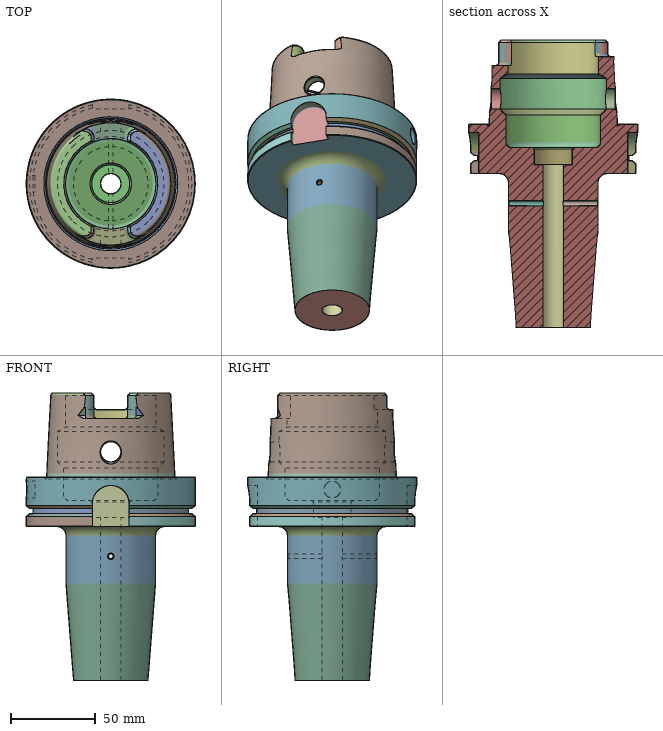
import cadquery as cq
import math

total_height = 169.9
flange_top = 120.1
flange_bottom = 90.9
sleeve_taper_top = 57.3

sleeve_radius = 26.5
sleeve_tip_radius = 22.0
neck_fillet = 5.5

flange_radius = 50.0
flange_edge_chamfer = 0.3
groove_center = 100.0
groove_half_width = 3.2
groove_floor_half_width = 1.5
groove_floor_radius = 46.0
groove_lip_radius = 47.9

shank_tip_radius = 35.5
shank_base_radius = 37.9
shank_tip_fillet = 1.5
shank_collar_top = 122.2
relief_outer_radius = 39.6
relief_depth = 1.0

cavity_radius = 26.7
cavity_mouth_width = 1.0
cavity_mouth_depth = 1.7
cavity_floor = 106.4
cavity_floor_fillet = 3.0
cavity_lower_radius = 27.9
undercut_radius = 31.5
undercut_top = 149.9
undercut_bottom = 129.0
clamping_slope = math.tan(math.radians(30))
coolant_bore_radius = 12.2
coolant_bore_chamfer = 1.0
coolant_bore_depth = 10.2
through_bore_radius = 6.0

drive_slot_half_width = 10.0
front_slot_floor = 154.8
back_slot_floor = 160.0
drive_slot_lip = 32.3
drive_slot_corner_radius = 5.0
drive_slot_floor_fillet = 1.9
drive_slot_edge_chamfer = 1.5
lip_recess_depth = 1.7
lip_recess_height = 4.6

keyway_half_width = 10.9
keyway_top = 115.2
keyway_floor = 44.0
keyway_floor_fillet = 0.5

clamp_hole_radius = 6.0
clamp_hole_height = 135.0
clamp_mouth_start = 36.4
screw_hole_radius = 1.4
screw_hole_height = 73.4
screw_mouth_start = 26.0
rim_hole_radius = 5.0
rim_hole_height = 112.8
rim_hole_depth = 5.1

arc_inset = 1 - math.sqrt(0.5)


def revolved_body():
    """Solid outer shape: tapered sleeve, grooved flange and taper shank."""
    c = flange_edge_chamfer
    neck_arc_offset = neck_fillet * arc_inset
    tip_arc_offset = shank_tip_fillet * arc_inset
    outline = (
        cq.Workplane("XZ")
        .moveTo(0, 0)
        .lineTo(sleeve_tip_radius, 0)
        .lineTo(sleeve_radius, sleeve_taper_top)
        .lineTo(sleeve_radius, flange_bottom - neck_fillet)
        .threePointArc(
            (sleeve_radius + neck_arc_offset, flange_bottom - neck_arc_offset),
            (sleeve_radius + neck_fillet, flange_bottom),
        )
        .lineTo(flange_radius - c, flange_bottom)
        .lineTo(flange_radius, flange_bottom + c)
        .lineTo(flange_radius, groove_center - groove_half_width)
        .lineTo(groove_lip_radius, groove_center - groove_floor_half_width)
        .lineTo(groove_floor_radius, groove_center - groove_floor_half_width)
        .lineTo(groove_floor_radius, groove_center + groove_floor_half_width)
        .lineTo(groove_lip_radius, groove_center + groove_floor_half_width)
        .lineTo(flange_radius, groove_center + groove_half_width)
        .lineTo(flange_radius, flange_top - c)
        .lineTo(flange_radius - c, flange_top)
        .lineTo(relief_outer_radius, flange_top)
        .lineTo(relief_outer_radius - relief_depth, flange_top - relief_depth)
        .lineTo(shank_base_radius, flange_top - relief_depth)
        .lineTo(shank_base_radius, shank_collar_top)
        .lineTo(shank_tip_radius, total_height - shank_tip_fillet)
        .threePointArc(
            (shank_tip_radius - tip_arc_offset, total_height - tip_arc_offset),
            (shank_tip_radius - shank_tip_fillet, total_height),
        )
        .lineTo(0, total_height)
        .close()
    )
    return outline.revolve(360, (0, 0, 0), (0, 1, 0))


def axial_bores():
    """Through hole, coolant tube bore and the hollow of the shank with its clamping undercut."""
    coolant_seat_radius = coolant_bore_radius - coolant_bore_chamfer
    coolant_bore_floor = cavity_floor - coolant_bore_depth
    clamping_flank = (undercut_radius - cavity_radius) * clamping_slope
    lower_flank = undercut_radius - cavity_lower_radius
    arc_offset = cavity_floor_fillet * arc_inset
    outline = (
        cq.Workplane("XZ")
        .moveTo(0, 0)
        .lineTo(through_bore_radius, 0)
        .lineTo(through_bore_radius, coolant_bore_floor)
        .lineTo(coolant_seat_radius, coolant_bore_floor)
        .lineTo(coolant_seat_radius, cavity_floor - coolant_bore_chamfer)
        .lineTo(coolant_bore_radius, cavity_floor)
        .lineTo(cavity_lower_radius - cavity_floor_fillet, cavity_floor)
        .threePointArc(
            (cavity_lower_radius - arc_offset, cavity_floor + arc_offset),
            (cavity_lower_radius, cavity_floor + cavity_floor_fillet),
        )
        .lineTo(cavity_lower_radius, undercut_bottom - lower_flank)
        .lineTo(undercut_radius, undercut_bottom)
        .lineTo(undercut_radius, undercut_top - clamping_flank)
        .lineTo(cavity_radius, undercut_top)
        .lineTo(cavity_radius, total_height - cavity_mouth_depth)
        .lineTo(cavity_radius + cavity_mouth_width, total_height)
        .lineTo(0, total_height)
        .close()
    )
    return outline.revolve(360, (0, 0, 0), (0, 1, 0))


def drive_slot_outline(height):
    """Slot plan on the +Y side: straight walls, rounded corners, then a flare along the lip."""
    w = drive_slot_half_width
    r = drive_slot_corner_radius
    arc_offset = r * arc_inset
    reach = shank_base_radius
    return (
        cq.Workplane("XY", origin=(0, 0, height))
        .moveTo(-w, 0)
        .lineTo(w, 0)
        .lineTo(w, drive_slot_lip - r)
        .threePointArc((w + arc_offset, drive_slot_lip - arc_offset), (w + r, drive_slot_lip))
        .lineTo(reach, drive_slot_lip)
        .lineTo(reach, reach)
        .lineTo(-reach, reach)
        .lineTo(-reach, drive_slot_lip)
        .lineTo(-w - r, drive_slot_lip)
        .threePointArc((-w - arc_offset, drive_slot_lip - arc_offset), (-w, drive_slot_lip - r))
        .close()
    )


def drive_slot(floor):
    """Slot through the +Y wall, with filleted floor corners and chamfered upper edges."""
    slot = drive_slot_outline(floor).extrude(total_height - floor)
    wall_side = cq.selectors.BoxSelector(
        (-shank_base_radius, 1.7, floor - 1.7),
        (shank_base_radius, shank_base_radius - 1.7, floor + 1.7),
    )
    slot = slot.faces("<Z").edges(wall_side).fillet(drive_slot_floor_fillet)
    c = drive_slot_edge_chamfer
    return slot.union(drive_slot_outline(total_height - c).extrude(c, taper=-45))


def lip_recesses(floor):
    """Pair of wedges cut back under the lip, just above the slot floor, on the +Y side."""
    inner = drive_slot_half_width + drive_slot_corner_radius
    deep_height = floor + drive_slot_floor_fillet
    wedge = (
        cq.Workplane("YZ", origin=(inner, 0, 0))
        .moveTo(drive_slot_lip, floor)
        .lineTo(drive_slot_lip - lip_recess_depth, deep_height)
        .lineTo(drive_slot_lip, deep_height + lip_recess_height)
        .lineTo(shank_base_radius, deep_height + lip_recess_height)
        .lineTo(shank_base_radius, floor)
        .close()
        .extrude(shank_base_radius - inner)
    )
    return wedge.union(wedge.mirror("YZ"))


def keyway(side):
    """Flat-floored notch in the flange rim, round at the top and open at the bottom."""
    w = keyway_half_width
    outline = (
        cq.Workplane("XZ", origin=(0, side * keyway_floor, 0))
        .moveTo(-w, flange_bottom)
        .lineTo(w, flange_bottom)
        .lineTo(w, keyway_top - w)
        .threePointArc((0, keyway_top), (-w, keyway_top - w))
        .close()
    )
    notch = outline.extrude(-side * (flange_radius - keyway_floor))
    floor_face = notch.faces("<Y" if side > 0 else ">Y")
    return floor_face.edges("not <Z").fillet(keyway_floor_fillet)


def cross_hole(radius, height, mouth_start, wall_radius):
    """Hole straight across the part along Y, countersunk at 45 degrees at both ends."""
    center = cq.Workplane("XZ", origin=(0, 0, height))
    hole = center.circle(radius).extrude(wall_radius + radius, both=True)
    for side in (-1, 1):
        start = cq.Workplane("XZ", origin=(0, side * mouth_start, height))
        hole = hole.union(start.circle(radius).extrude(-side * (wall_radius - mouth_start), taper=-45))
    return hole


def rim_hole():
    """Blind round hole in the flange rim on the -X side."""
    start = cq.Workplane("YZ", origin=(-flange_radius, 0, rim_hole_height))
    return start.circle(rim_hole_radius).extrude(rim_hole_depth)


result = revolved_body().cut(axial_bores())
result = result.cut(drive_slot(back_slot_floor))
result = result.cut(drive_slot(front_slot_floor).mirror("XZ"))
result = result.cut(lip_recesses(front_slot_floor).mirror("XZ"))
result = result.cut(
    cross_hole(clamp_hole_radius, clamp_hole_height, clamp_mouth_start, shank_base_radius)
)
result = result.cut(
    cross_hole(screw_hole_radius, screw_hole_height, screw_mouth_start, sleeve_radius)
)
for side in (-1, 1):
    result = result.cut(keyway(side))
result = result.cut(rim_hole())